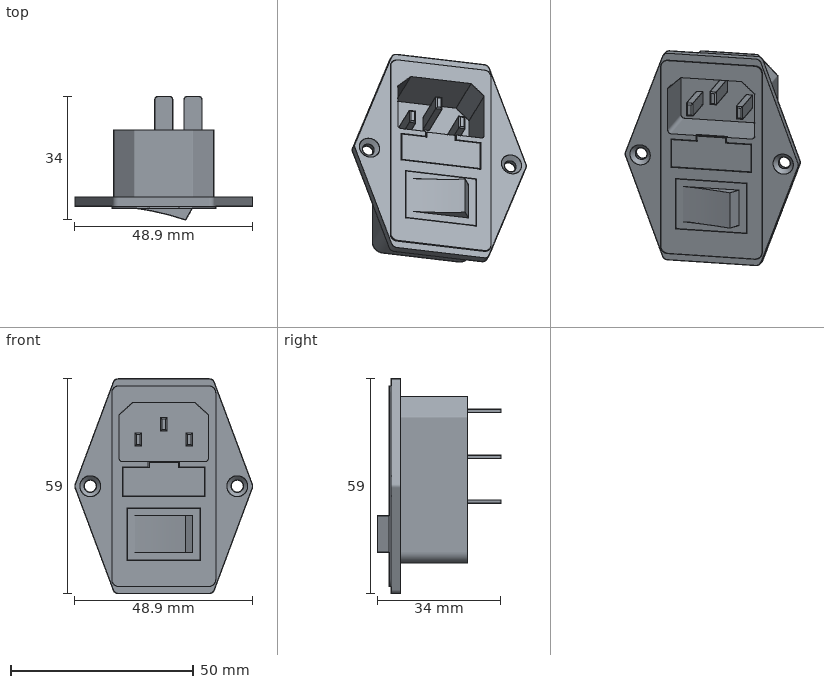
import cadquery as cq


flange_height = 59.0
flange_width = 48.85
flange_thickness = 2.6
flange_top_width = 27.0
flange_tip_overrun = 0.09
flange_tip_radius = 1.3
flange_corner_radius = 1.55

pad_width = 28.55
pad_height = 55.1
pad_thickness = 0.55
pad_radius = 1.95
front_y = -(flange_thickness + pad_thickness)

hole_spacing = 40.35
hole_diameter = 3.3
countersink_diameter = 5.7
countersink_angle = 90

body_width = 27.5
body_top = 24.65
body_bottom = -21.1
body_depth = 18.4
body_chamfer = 5.7
body_chamfer_radius = 0.5
body_bottom_radius = 2.95

terminal_width = 4.95
terminal_thickness = 0.95
terminal_length = 9.2
terminal_radius = 0.95
terminal_places = [(0, 20.65), (8.0, 8.0), (8.0, -4.25)]

socket_width = 24.55
socket_top = 22.95
socket_bottom = 6.7
socket_depth = 15.95
socket_chamfer_x = 3.7
socket_chamfer_z = 3.35
socket_radius = 1.0

pin_width = 1.75
pin_height = 3.65
pin_chamfer = 0.4
earth_pin_z = 17.0
earth_pin_setback = 1.9
side_pin_x = 7.0
side_pin_z = 12.8
side_pin_setback = 3.65
pins = [
    (0, earth_pin_z, earth_pin_setback),
    (-side_pin_x, side_pin_z, side_pin_setback),
    (side_pin_x, side_pin_z, side_pin_setback),
]

drawer_groove = 0.2
drawer_depth = 1.0
drawer_width = 22.65
drawer_top = 5.25
drawer_bottom = -2.85
tab_width = 8.7
tab_side_groove = 0.35

recess_width = 20.05
recess_top = -5.95
recess_bottom = -20.35
recess_depth = 1.0
switch_gap = 0.1
rocker_width = 15.7
rocker_top = -8.1
rocker_bottom = -18.2
rocker_rise = 3.25
rocker_tip_x = 6.0
rocker_sag = 0.35


def block(width, bottom, top, y_front, depth, center_x=0):
    """Box given by its width, its Z range, its front Y and its depth toward +Y."""
    return cq.Workplane("XY").box(width, depth, top - bottom, centered=(True, False, False)).translate(
        (center_x, y_front, bottom)
    )


def make_flange():
    tip_x = flange_width / 2 + flange_tip_overrun
    corner_x = flange_top_width / 2
    corner_z = flange_height / 2
    outline = [
        (tip_x, 0), (corner_x, corner_z), (-corner_x, corner_z),
        (-tip_x, 0), (-corner_x, -corner_z), (corner_x, -corner_z),
    ]
    flange = cq.Workplane("XZ").polyline(outline).close().extrude(flange_thickness)
    flange = flange.edges("|Y").edges(">X or <X").fillet(flange_tip_radius)
    return flange.edges("|Y").edges(">Z or <Z").fillet(flange_corner_radius)


def make_pad():
    pad = block(pad_width, -pad_height / 2, pad_height / 2, front_y, pad_thickness)
    return pad.edges("|Y").fillet(pad_radius)


def make_body():
    body = block(body_width, body_bottom, body_top, 0, body_depth)
    body = body.edges("|Y and <Z").fillet(body_bottom_radius)
    body = body.edges("|Y and >Z").chamfer(body_chamfer)
    chamfer_start_z = body_top - body_chamfer
    chamfer_edges = cq.selectors.BoxSelector(
        (-body_width, -body_depth, chamfer_start_z - body_chamfer / 2),
        (body_width, 2 * body_depth, body_top + body_chamfer),
    )
    return body.edges("|Y").edges(chamfer_edges).fillet(body_chamfer_radius)


def make_terminal(x, z):
    half = terminal_thickness / 2
    terminal = block(terminal_width, z - half, z + half, body_depth, terminal_length, x)
    return terminal.edges("|Z and >Y").fillet(terminal_radius)


def make_socket_cut():
    half = socket_width / 2
    outline = [
        (half, socket_bottom),
        (half, socket_top - socket_chamfer_z),
        (half - socket_chamfer_x, socket_top),
        (socket_chamfer_x - half, socket_top),
        (-half, socket_top - socket_chamfer_z),
        (-half, socket_bottom),
    ]
    front = cq.Workplane("XZ", origin=(0, front_y, 0))
    cut = front.polyline(outline).close().extrude(-socket_depth)
    return cut.edges("|Y and <Z").fillet(socket_radius)


def make_pin(x, z, setback):
    half = pin_height / 2
    pin = block(pin_width, z - half, z + half, front_y + setback, socket_depth - setback, x)
    return pin.faces("<Y").chamfer(pin_chamfer)


def make_drawer_groove():
    pocket = block(drawer_width, drawer_bottom, drawer_top, front_y, drawer_depth)
    pocket = pocket.union(block(tab_width, drawer_bottom, socket_bottom, front_y, drawer_depth))
    panel = block(
        drawer_width - 2 * drawer_groove,
        drawer_bottom + drawer_groove,
        drawer_top - drawer_groove,
        front_y,
        drawer_depth,
    )
    tab = block(
        tab_width - 2 * tab_side_groove,
        drawer_bottom + drawer_groove,
        socket_bottom - drawer_groove,
        front_y,
        drawer_depth,
    )
    return pocket.cut(panel.union(tab))


def make_housing():
    housing = make_flange().union(make_pad()).union(make_body())
    housing = (
        housing.cut(make_socket_cut())
        .cut(make_drawer_groove())
        .cut(block(recess_width, recess_bottom, recess_top, front_y, recess_depth))
    )
    for x, z, setback in pins:
        housing = housing.union(make_pin(x, z, setback))
    for x, z in terminal_places:
        housing = housing.union(make_terminal(x, z))
    return (
        housing.copyWorkplane(cq.Workplane("XZ", origin=(0, -flange_thickness, 0)))
        .pushPoints([(-hole_spacing / 2, 0), (hole_spacing / 2, 0)])
        .cskHole(hole_diameter, countersink_diameter, countersink_angle)
    )


def make_switch():
    base = block(
        recess_width - 2 * switch_gap,
        recess_bottom + switch_gap,
        recess_top - switch_gap,
        front_y,
        recess_depth,
    )
    half = rocker_width / 2
    tip_y = front_y - rocker_rise
    hollow_point = ((rocker_tip_x - half) / 2, (front_y + tip_y) / 2 + rocker_sag)
    rocker = (
        cq.Workplane("XY", origin=(0, 0, rocker_bottom))
        .moveTo(-half, front_y)
        .threePointArc(hollow_point, (rocker_tip_x, tip_y))
        .lineTo(half, front_y)
        .lineTo(half, front_y + recess_depth)
        .lineTo(-half, front_y + recess_depth)
        .close()
        .extrude(rocker_top - rocker_bottom)
    )
    return base.union(rocker)


housing = make_housing()
switch = make_switch()
result = cq.Compound.makeCompound([housing.solids().val(), switch.solids().val()])